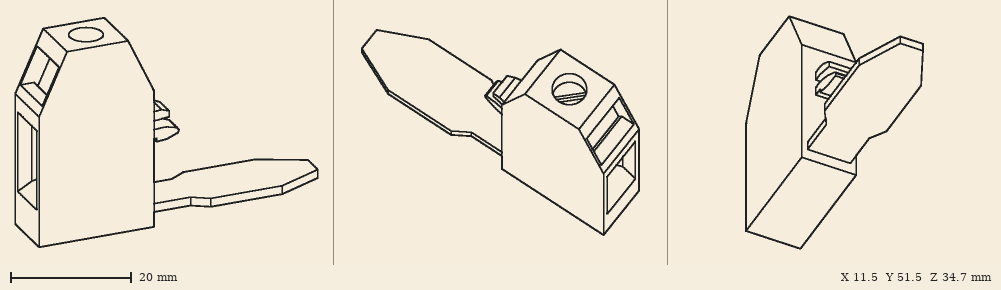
import cadquery as cq


body_width = 10.1
body_depth = 20.75
body_height = 34.7
front_knee_z = 23.75
rear_knee_z = 24.75
top_front_y = 5.05
top_rear_y = 16.05

tongue_end_y = 51.5
tongue_width = 11.5
tongue_tip_width = 4.2
tongue_neck_width = 7.95
tongue_bottom_z = 2.15
tongue_thickness = 1.55
tongue_neck_y = 27.75
tongue_rear_shoulder_y = 30.65
tongue_tip_shoulder_y = 43.5

tab_root_length = 1.55
tab_slope_start = 2.5
tab_root_width = 4.85
tab_tip_width = 3.3
upper_tab_length = 4.0
upper_tab_bottom_z = 18.0
upper_tab_top_z = 19.7
upper_tab_end_z = 19.1
lower_tab_length = 5.9
lower_tab_root_bottom_z = 14.75
lower_tab_bottom_z = 14.1
lower_tab_top_z = 16.45
nose_start = 3.55
nose_top_z = 16.3
nose_tip_z = 15.2
nose_lower_corner = (5.75, 14.75)
nose_upper_corner = (5.6, 15.65)

screw_diameter = 5.7
screw_y = 10.6
screw_recess_depth = 3.35
slot_width = 1.05
slot_depth = 1.05
slot_angle = -45

pocket_width = 9.2
pocket_top_z = 31.95
pocket_roof_z = 30.25
pocket_ledge_z = 25.4
pocket_ledge_end_y = 3.25
pocket_floor_z = 24.55
pocket_roof_bend_y = 5.3
pocket_depth_y = 3.5

entry_width = 8.0
entry_bottom_z = 6.4
entry_top_z = 20.8
passage_width = 5.4
passage_bottom_z = 9.0
passage_top_z = 16.25
side_taper_start_y = 2.6
funnel_depth = 4.75
passage_end_y = 10.3


def side_profile(points, width):
    """Extrude a (Y, Z) outline symmetrically about X = 0."""
    return cq.Workplane("YZ").polyline(points).close().extrude(width / 2, both=True)


def plan_profile(half_outline, bottom_z, height):
    """Mirror (half width, Y) points about X = 0 and extrude upward."""
    mirrored = [(-x, y) for x, y in reversed(half_outline)]
    plane = cq.Workplane("XY").workplane(offset=bottom_z)
    return plane.polyline(half_outline + mirrored).close().extrude(height)


def make_housing():
    outline = [
        (0, 0),
        (body_depth, 0),
        (body_depth, rear_knee_z),
        (top_rear_y, body_height),
        (top_front_y, body_height),
        (0, front_knee_z),
    ]
    return side_profile(outline, body_width)


def make_tongue():
    half_outline = [
        (tongue_neck_width / 2, body_depth),
        (tongue_neck_width / 2, tongue_neck_y),
        (tongue_width / 2, tongue_rear_shoulder_y),
        (tongue_width / 2, tongue_tip_shoulder_y),
        (tongue_tip_width / 2, tongue_end_y),
    ]
    return plan_profile(half_outline, tongue_bottom_z, tongue_thickness)


def make_tabs():
    upper = [
        (0, upper_tab_bottom_z),
        (upper_tab_length, upper_tab_bottom_z),
        (upper_tab_length, upper_tab_end_z),
        (tab_slope_start, upper_tab_top_z),
        (0, upper_tab_top_z),
    ]
    lower = [
        (0, lower_tab_root_bottom_z),
        (tab_root_length, lower_tab_root_bottom_z),
        (tab_root_length, lower_tab_bottom_z),
        (nose_start, lower_tab_bottom_z),
        nose_lower_corner,
        (lower_tab_length, nose_tip_z),
        nose_upper_corner,
        (nose_start, nose_top_z),
        (tab_slope_start, lower_tab_top_z),
        (0, lower_tab_top_z),
    ]
    half_outline = [
        (tab_root_width / 2, body_depth),
        (tab_root_width / 2, body_depth + tab_root_length),
        (tab_tip_width / 2, body_depth + lower_tab_length),
    ]
    envelope = plan_profile(half_outline, 0, body_height)
    sides = side_profile(upper, tab_root_width).union(side_profile(lower, tab_root_width))
    return sides.translate((0, body_depth, 0)).intersect(envelope)


def make_screw_recess():
    floor_z = body_height - screw_recess_depth
    bore = cq.Workplane("XY").circle(screw_diameter / 2).extrude(screw_recess_depth)
    slot_limit = cq.Workplane("XY").circle(screw_diameter / 2).extrude(-slot_depth)
    slot = (
        cq.Workplane("XY")
        .rect(screw_diameter, slot_width)
        .extrude(-slot_depth)
        .rotate((0, 0, 0), (0, 0, 1), slot_angle)
        .intersect(slot_limit)
    )
    return bore.union(slot).translate((0, screw_y, floor_z))


def make_front_pocket():
    slope = top_front_y / (body_height - front_knee_z)

    def slope_y(z):
        return (z - front_knee_z) * slope

    outline = [
        (slope_y(pocket_ledge_z), pocket_ledge_z),
        (pocket_ledge_end_y, pocket_ledge_z),
        (slope_y(pocket_floor_z) + pocket_depth_y, pocket_floor_z),
        (slope_y(pocket_roof_z) + pocket_depth_y, pocket_roof_z),
        (pocket_roof_bend_y, pocket_roof_z),
        (slope_y(pocket_top_z), pocket_top_z),
    ]
    return side_profile(outline, pocket_width)


def make_wire_entry():
    side_outline = [
        (0, entry_bottom_z),
        (funnel_depth, passage_bottom_z),
        (passage_end_y, passage_bottom_z),
        (passage_end_y, passage_top_z),
        (funnel_depth, passage_top_z),
        (0, entry_top_z),
    ]
    half_outline = [
        (entry_width / 2, 0),
        (entry_width / 2, side_taper_start_y),
        (passage_width / 2, funnel_depth),
        (passage_width / 2, passage_end_y),
    ]
    plan = plan_profile(half_outline, 0, body_height)
    return side_profile(side_outline, entry_width).intersect(plan)


housing = make_housing()
for cutter in (make_screw_recess(), make_front_pocket(), make_wire_entry()):
    housing = housing.cut(cutter)

result = housing.union(make_tongue()).union(make_tabs())